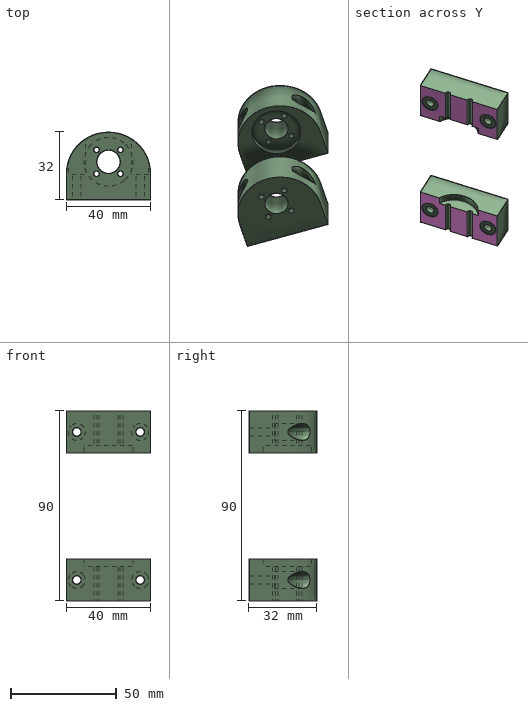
import cadquery as cq
import math

total_height = 90.0
block_width = 40.0
block_depth = 32.0
block_height = 20.0
round_radius = block_width / 2
straight_depth = block_depth - round_radius

bore_y = 18.0
bore_diameter = 11.0
recess_diameter = 23.0
recess_depth = 3.5
screw_diameter = 2.5
screw_circle_diameter = 16.0
screw_count = 4
first_screw_angle = 45.0

bolt_spacing = 30.0
bolt_diameter = 4.0
bolt_head_diameter = 8.0
bolt_head_floor_y = straight_depth


def block_body():
    """Plain block with a flat front and a half-round back."""
    half_width = block_width / 2
    return (
        cq.Workplane("XY")
        .moveTo(-half_width, 0)
        .lineTo(half_width, 0)
        .lineTo(half_width, straight_depth)
        .threePointArc((0, block_depth), (-half_width, straight_depth))
        .close()
        .extrude(block_height)
    )


def upright_cylinder(diameter, x, y, bottom_z):
    """Cutter along Z from bottom_z to the top of the block."""
    return (
        cq.Workplane("XY", origin=(x, y, bottom_z))
        .circle(diameter / 2)
        .extrude(block_height - bottom_z)
    )


def bolt_cylinder(diameter, x, start_y):
    """Cutter along Y from start_y out through the rounded back."""
    return (
        cq.Workplane("XZ", origin=(x, start_y, block_height / 2))
        .circle(diameter / 2)
        .extrude(start_y - block_depth)
    )


def bearing_block():
    """Bearing block standing on Z = 0 with its recess facing up."""
    block = block_body()
    block = block.cut(upright_cylinder(bore_diameter, 0, bore_y, 0))
    block = block.cut(upright_cylinder(recess_diameter, 0, bore_y, block_height - recess_depth))

    for index in range(screw_count):
        angle = math.radians(first_screw_angle + index * 360 / screw_count)
        screw_x = screw_circle_diameter / 2 * math.cos(angle)
        screw_y = bore_y + screw_circle_diameter / 2 * math.sin(angle)
        block = block.cut(upright_cylinder(screw_diameter, screw_x, screw_y, 0))

    for bolt_x in (-bolt_spacing / 2, bolt_spacing / 2):
        block = block.cut(bolt_cylinder(bolt_diameter, bolt_x, 0))
        block = block.cut(bolt_cylinder(bolt_head_diameter, bolt_x, bolt_head_floor_y))
    return block


bearing_blocks = []
for turn_angle, base_z in ((0, 0), (180, total_height)):
    turned_block = bearing_block().rotate((0, 0, 0), (0, 1, 0), turn_angle)
    bearing_blocks.append(turned_block.translate((0, 0, base_z)))

result = cq.Compound.makeCompound([block.val() for block in bearing_blocks])